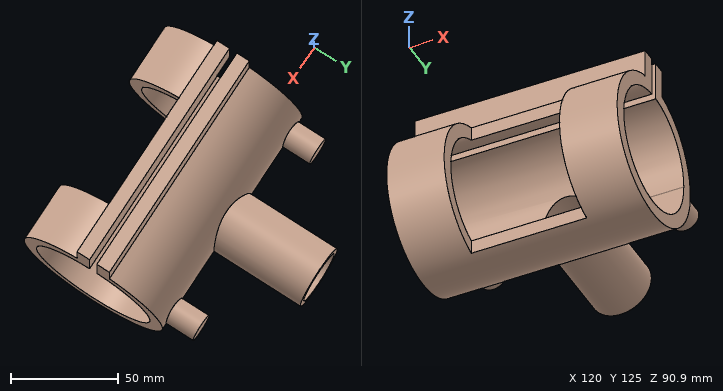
import cadquery as cq
import math

length = 120.0
bore_radius = 31.5
wall = 7.0
outer_radius = bore_radius + wall

split_width = 4.0
flange_thickness = wall
flange_height = 15.0
flange_half_width = split_width / 2 + flange_thickness
flange_root_z = math.sqrt(outer_radius**2 - flange_half_width**2)
flange_top_z = flange_root_z + flange_height

window_length = 60.0
window_edge_y = -10.0

tube_diameter = 32.0
tube_bore_diameter = 26.0
tube_projection = 48.0
pin_diameter = 14.0
pin_projection = 15.0
pin_end_distance = 10.0
pin_x = length / 2 - pin_end_distance


def cylinder_along_x(radius):
    """Full-length cylinder on the sleeve axis."""
    return cq.Workplane("YZ", origin=(-length / 2, 0, 0)).circle(radius).extrude(length)


def cylinder_along_y(x, diameter, projection):
    """Cylinder from the sleeve axis to a distance beyond the outer wall."""
    base = cq.Plane(origin=(x, 0, 0), xDir=(1, 0, 0), normal=(0, 1, 0))
    return cq.Workplane(base).circle(diameter / 2).extrude(outer_radius + projection)


def upright_block(width):
    """Full-length block rising from the sleeve axis to the flange tops."""
    return cq.Workplane("XY").rect(length, width).extrude(flange_top_z)


def window_block():
    """Block that removes the front of the sleeve over the window length."""
    depth = outer_radius
    block = cq.Workplane("XY").box(window_length, depth, 2 * outer_radius)
    return block.translate((0, window_edge_y - depth / 2, 0))


result = cylinder_along_x(outer_radius)
result = result.union(upright_block(2 * flange_half_width))
result = result.union(cylinder_along_y(0, tube_diameter, tube_projection))
for x in (-pin_x, pin_x):
    result = result.union(cylinder_along_y(x, pin_diameter, pin_projection))

result = result.cut(cylinder_along_x(bore_radius))
result = result.cut(upright_block(split_width))
result = result.cut(cylinder_along_y(0, tube_bore_diameter, tube_projection))
result = result.cut(window_block())